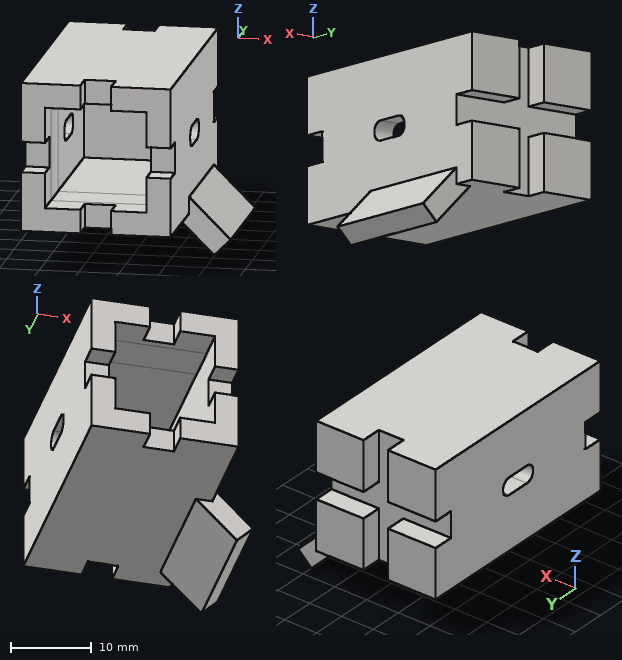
import cadquery as cq

length = 33.0
side = 18.85
overall = 24.1
pocket_side = 12.77
pocket_depth = 26.9

ridge_length = 4.9
ridge_height = 0.1
ridge_center_y = -10.0

notch_width = 3.85
notch_depth = 3.07
slot_length = 6.05
slot_height = 2.55

fin_thickness = 2.97
fin_length = 17.15
fin_rear = length / 2 - notch_depth


def make_body():
    body = cq.Workplane("XY").box(side, length, side)
    pocket = cq.Workplane("XY").box(pocket_side, pocket_depth, pocket_side)
    return body.cut(pocket.translate((0, (pocket_depth - length) / 2, 0)))


def add_pocket_ridges(body):
    """Add a low arc-shaped ridge across the pocket floor, -X wall and ceiling."""
    wall_z = -pocket_side / 2
    ridge_start = ridge_center_y - ridge_length / 2
    ridge_end = ridge_center_y + ridge_length / 2
    floor_ridge = (
        cq.Workplane("YZ")
        .moveTo(ridge_start, wall_z)
        .threePointArc((ridge_center_y, wall_z + ridge_height), (ridge_end, wall_z))
        .close()
        .extrude(pocket_side / 2, both=True)
    )
    for angle in (0, 90, 180):
        body = body.union(floor_ridge.rotate((0, 0, 0), (0, 1, 0), angle))
    return body


def cut_end_notches(body):
    """Cut a cross of two notches into each end."""
    for end in (-1, 1):
        notch_y = end * (length - notch_depth) / 2
        for width, height in ((side, notch_width), (notch_width, side)):
            notch = cq.Workplane("XY").box(width, notch_depth, height)
            body = body.cut(notch.translate((0, notch_y, 0)))
    return body


def cut_side_slot(body):
    slot = cq.Workplane("YZ").slot2D(slot_length, slot_height).extrude(side / 2, both=True)
    return body.cut(slot)


def make_fin():
    """Fin at 45 degrees whose outer corner sets the overall width and height."""
    half_side = side / 2
    corner_step = fin_thickness / 2**0.5
    tip = overall - half_side
    root = half_side - corner_step
    profile = [
        (root, -root),
        (half_side, -root),
        (tip, corner_step - tip),
        (tip - corner_step, -tip),
        (root, -half_side),
    ]
    plane = cq.Workplane("XZ", origin=(0, fin_rear, 0))
    return plane.polyline(profile).close().extrude(fin_length)


housing = add_pocket_ridges(make_body())
housing = cut_end_notches(housing)
housing = cut_side_slot(housing)
result = housing.union(make_fin())